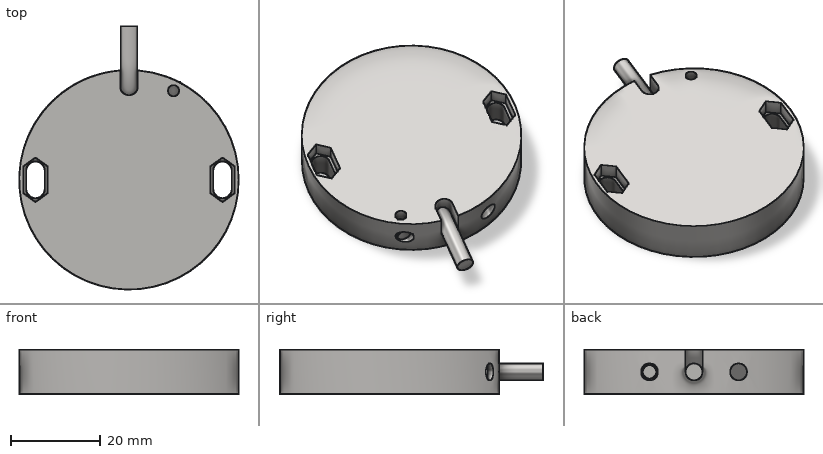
import cadquery as cq

disc_diameter = 49.32
disc_radius = disc_diameter / 2
disc_height = 10.0
mid_height = disc_height / 2

cable_diameter = 3.8
cable_end_y = 34.5
cable_slot_width = 4.0
cable_slot_center_y = 21.0

side_hole_diameter = 3.8
side_hole_offset_x = 10.0
side_hole_bottom_y = 12.0

vent_diameter = 2.5
vent_y = 20.0

pin_diameter = 3.0
pin_end_y = 22.0

mount_offset_x = 21.0
mount_slot_width = 4.1
mount_slot_length = 2 * mount_slot_width
nut_pocket_width = 5.5
nut_pocket_length = 10.0
nut_pocket_straight = 6.0
nut_pocket_depth = 3.5


def cylinder_along_y(x, start_y, end_y, diameter):
    """Cylinder parallel to Y at mid height."""
    plane = cq.Plane(origin=(x, start_y, mid_height), xDir=(1, 0, 0), normal=(0, 1, 0))
    return cq.Workplane(plane).circle(diameter / 2).extrude(end_y - start_y)


def cable_slot():
    """Round-ended slot, open at the rim and cut from the top face to mid height."""
    round_end = (
        cq.Workplane("XY", origin=(0, cable_slot_center_y, mid_height))
        .circle(cable_slot_width / 2)
        .extrude(mid_height)
    )
    channel = (
        cq.Workplane("XY", origin=(0, (cable_slot_center_y + disc_radius) / 2, mid_height))
        .rect(cable_slot_width, disc_radius - cable_slot_center_y)
        .extrude(mid_height)
    )
    return round_end.union(channel)


def vent_hole():
    """Vertical hole from the top face down to the axis of the side hole."""
    return (
        cq.Workplane("XY", origin=(side_hole_offset_x, vent_y, mid_height))
        .circle(vent_diameter / 2)
        .extrude(mid_height)
    )


def mounting_cut(x):
    """Through slot with a six-sided pocket sunk into the top face."""
    slot = (
        cq.Workplane("XY", origin=(x, 0, 0))
        .slot2D(mount_slot_length, mount_slot_width, 90)
        .extrude(disc_height)
    )
    half_width = nut_pocket_width / 2
    half_length = nut_pocket_length / 2
    half_straight = nut_pocket_straight / 2
    pocket = (
        cq.Workplane("XY", origin=(x, 0, disc_height - nut_pocket_depth))
        .polyline([
            (0, half_length),
            (half_width, half_straight),
            (half_width, -half_straight),
            (0, -half_length),
            (-half_width, -half_straight),
            (-half_width, half_straight),
        ])
        .close()
        .extrude(nut_pocket_depth)
    )
    return slot.union(pocket)


body = cq.Workplane("XY").circle(disc_radius).extrude(disc_height)
body = body.cut(cable_slot())
for side in (-1, 1):
    hole_x = side * side_hole_offset_x
    body = body.cut(cylinder_along_y(hole_x, side_hole_bottom_y, disc_radius, side_hole_diameter))
    body = body.cut(mounting_cut(side * mount_offset_x))
body = body.cut(vent_hole())

cable_start_y = cable_slot_center_y - cable_slot_width / 2
cable = cylinder_along_y(0, cable_start_y, cable_end_y, cable_diameter)
pin = cylinder_along_y(side_hole_offset_x, side_hole_bottom_y, pin_end_y, pin_diameter)
result = body.union(cable).union(pin)